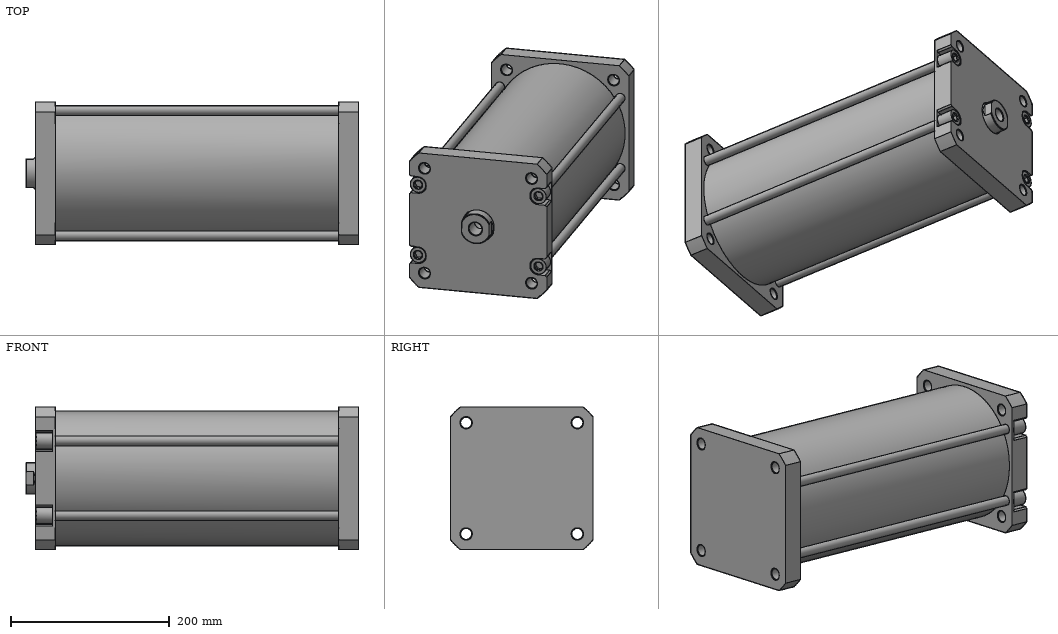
import cadquery as cq
import math


total_length = 419.2
cover_side = 180.0
cover_thickness = 25.0
cover_corner_dia = 237.5
barrel_dia = 170.2

mount_hole_offset = 70.0
mount_hole_dia = 14.0
mount_hole_chamfer = 1.0

tie_rod_y = 79.0
tie_rod_z = 47.0
tie_rod_dia = 12.0
head_dia = 20.0
head_sink = 1.0
socket_sides = 6
socket_across_flats = 9.5
socket_mouth_dia = 12.0
socket_chamfer = 1.3
socket_depth = 6.3

pocket_width = 22.2
pocket_depth = 21.5
pocket_lip = 2.0

rod_dia = 40.0
rod_protrusion = 12.0
rod_clearance = 1.3
rod_across_flats = 36.0
flat_length = 9.5
rod_tip_chamfer = 1.0
thread_hole_dia = 16.8
thread_hole_chamfer = 1.0
thread_hole_depth = 25.0
drill_tip_angle = 118.0

chamfer_angle = 45.0

barrel_start = cover_thickness
barrel_length = total_length - rod_protrusion - 2 * cover_thickness
barrel_end = barrel_start + barrel_length
head_length = pocket_depth - head_sink

tie_rod_places = [(y, z) for y in (-tie_rod_y, tie_rod_y) for z in (-tie_rod_z, tie_rod_z)]
mount_hole_places = [
    (y, z)
    for y in (-mount_hole_offset, mount_hole_offset)
    for z in (-mount_hole_offset, mount_hole_offset)
]


def plane_at(x):
    """Workplane across the axis at x: local axes are Y and Z, extrusion goes toward +X."""
    return cq.Workplane("YZ", origin=(x, 0, 0))


def cover_blank(x):
    """Square plate with rounded-off corners and four mounting holes chamfered at both ends."""
    plate = plane_at(x).rect(cover_side, cover_side).extrude(cover_thickness)
    corner_round = plane_at(x).circle(cover_corner_dia / 2).extrude(cover_thickness)
    holes = plane_at(x).pushPoints(mount_hole_places).circle(mount_hole_dia / 2).extrude(cover_thickness)
    cover = plate.intersect(corner_round).cut(holes)
    hole_rims = cover.edges("%CIRCLE").edges(cq.selectors.RadiusNthSelector(0))
    return hole_rims.chamfer(mount_hole_chamfer)


def head_pocket(y, z):
    """Round-ended slot that opens at the nearest Y side, flaring at the opening."""
    side = math.copysign(1, y)
    edge = side * cover_side / 2
    half = pocket_width / 2
    lip_start = edge - side * pocket_lip
    return (
        plane_at(0)
        .moveTo(y, z + half)
        .lineTo(lip_start, z + half)
        .lineTo(edge, z + half + pocket_lip)
        .lineTo(edge, z - half - pocket_lip)
        .lineTo(lip_start, z - half)
        .lineTo(y, z - half)
        .threePointArc((y - side * half, z), (y, z + half))
        .close()
        .extrude(pocket_depth)
    )


def make_front_cover():
    cover = cover_blank(0)
    rod_bore_dia = rod_dia + 2 * rod_clearance
    cover = cover.cut(plane_at(0).circle(rod_bore_dia / 2).extrude(cover_thickness))
    for y, z in tie_rod_places:
        cover = cover.cut(head_pocket(y, z))
    tie_rod_holes = plane_at(0).pushPoints(tie_rod_places).circle(tie_rod_dia / 2).extrude(cover_thickness)
    return cover.cut(tie_rod_holes)


def make_rear_cover():
    return cover_blank(barrel_end)


def make_barrel():
    return plane_at(barrel_start).circle(barrel_dia / 2).extrude(barrel_length)


def make_tie_rod(y, z):
    """Long socket-head screw from the front cover pocket to the rear cover."""
    head = plane_at(head_sink).center(y, z).circle(head_dia / 2).extrude(head_length)
    shank = plane_at(pocket_depth).center(y, z).circle(tie_rod_dia / 2).extrude(barrel_end - pocket_depth)
    socket_corner_dia = socket_across_flats / math.cos(math.pi / socket_sides)
    socket = plane_at(head_sink).center(y, z).polygon(socket_sides, socket_corner_dia).extrude(socket_depth)
    mouth = plane_at(head_sink).center(y, z).circle(socket_mouth_dia / 2)
    lead_in = mouth.extrude(socket_chamfer, taper=chamfer_angle)
    return head.union(shank).cut(socket).cut(lead_in)


def make_piston_rod():
    """Rod end with two wrench flats and a drilled axial hole, ending at the barrel face."""
    rod = plane_at(-rod_protrusion).circle(rod_dia / 2).extrude(rod_protrusion + cover_thickness)
    rod = rod.faces("<X").edges().chamfer(rod_tip_chamfer)

    flat_y = rod_across_flats / 2
    surface_y = rod_dia / 2
    flat_end_x = flat_length - rod_protrusion
    for side in (-1, 1):
        flat_cut = (
            cq.Workplane("XY")
            .moveTo(-rod_protrusion, side * flat_y)
            .lineTo(flat_end_x, side * flat_y)
            .lineTo(flat_end_x + surface_y - flat_y, side * surface_y)
            .lineTo(-rod_protrusion, side * surface_y)
            .close()
            .extrude(rod_dia / 2, both=True)
        )
        rod = rod.cut(flat_cut)

    hole_radius = thread_hole_dia / 2
    cone_height = hole_radius / math.tan(math.radians(drill_tip_angle / 2))
    shoulder_x = thread_hole_depth - rod_protrusion
    hole = (
        cq.Workplane("XY")
        .moveTo(-rod_protrusion, 0)
        .lineTo(-rod_protrusion, hole_radius + thread_hole_chamfer)
        .lineTo(-rod_protrusion + thread_hole_chamfer, hole_radius)
        .lineTo(shoulder_x, hole_radius)
        .lineTo(shoulder_x + cone_height, 0)
        .close()
        .revolve(360, (0, 0, 0), (1, 0, 0))
    )
    return rod.cut(hole)


front_cover = make_front_cover()
rear_cover = make_rear_cover()
barrel = make_barrel()
piston_rod = make_piston_rod()
tie_rods = [make_tie_rod(y, z) for y, z in tie_rod_places]

result = cq.Compound.makeCompound(
    [
        front_cover.val(),
        rear_cover.val(),
        barrel.val(),
        piston_rod.val(),
        *[tie_rod.val() for tie_rod in tie_rods],
    ]
)